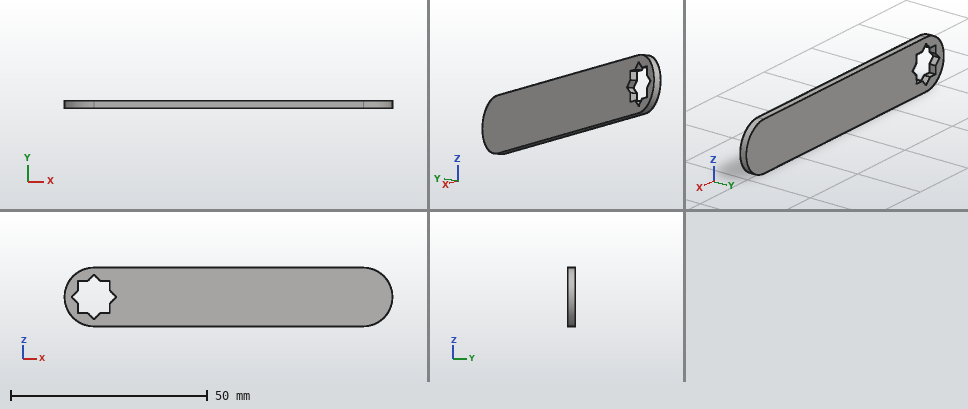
import cadquery as cq

length = 83.5
width = 15.0
thickness = 2.0

square_side = 8.0
opening_x = -(length - width) / 2
square_turns = (0, 45)


def make_blade():
    """Plate with full-radius ends, centred on the origin."""
    return cq.Workplane("XZ").slot2D(length, width).extrude(thickness / 2, both=True)


def make_square_cutter(turn):
    """Square through-cutter at the opening, turned about the Y axis."""
    return (
        cq.Workplane("XZ")
        .center(opening_x, 0)
        .transformed(rotate=(0, 0, turn))
        .rect(square_side, square_side)
        .extrude(thickness, both=True)
    )


result = make_blade()
for turn in square_turns:
    result = result.cut(make_square_cutter(turn))